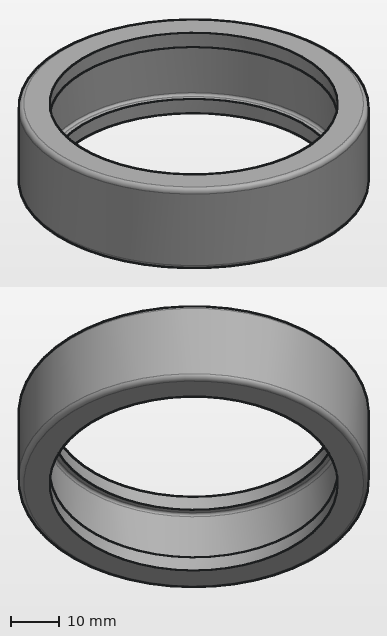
import cadquery as cq

outer_diameter = 72.0
bore_diameter = 59.2
width = 19.0
rim_radius = 1.1

raceway_diameter = 62.4
lip_width = 3.4
raceway_corner_radius = 0.6
raceway_width = width - 2 * lip_width


def cylinder(diameter, height, base_z):
    """Solid cylinder on the Z axis, standing on base_z."""
    return cq.Workplane("XY").workplane(offset=base_z).circle(diameter / 2).extrude(height)


body = cylinder(outer_diameter, width, 0).edges("%CIRCLE").fillet(rim_radius)

bore = cylinder(bore_diameter, width, 0)
raceway = cylinder(raceway_diameter, raceway_width, lip_width)
raceway = raceway.edges("%CIRCLE").fillet(raceway_corner_radius)

result = body.cut(bore).cut(raceway)